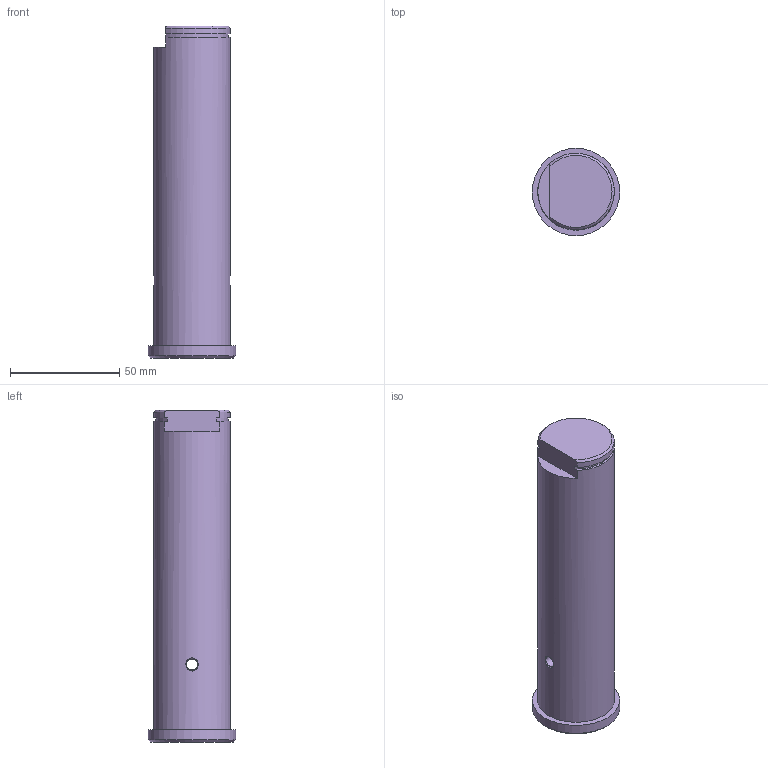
import cadquery as cq

total_length = 152.0
shank_diameter = 35.0
head_diameter = 40.0
head_thickness = 5.5
head_chamfer = 1.0
tip_chamfer = 1.0

groove_diameter = 33.0
groove_width = 1.6
groove_top_offset = 3.65

flat_distance = 12.0
flat_length = 9.75

hole_diameter = 5.0
hole_above_head = 30.0
countersink_diameter = 6.0

shank_radius = shank_diameter / 2
hole_height = head_thickness + hole_above_head


def make_pin():
    """Headed pin standing on the XY plane with its axis along Z."""
    head = cq.Workplane("XY").circle(head_diameter / 2).extrude(head_thickness)
    head = head.faces("<Z").edges().chamfer(head_chamfer)
    shank = cq.Workplane("XY").circle(shank_radius).extrude(total_length)
    shank = shank.faces(">Z").edges().chamfer(tip_chamfer)
    return head.union(shank)


def make_groove():
    """Ring of material removed for the retaining ring."""
    return (
        cq.Workplane("XY")
        .workplane(offset=total_length - groove_top_offset - groove_width)
        .circle(head_diameter / 2)
        .circle(groove_diameter / 2)
        .extrude(groove_width)
    )


def make_flat_cut():
    """Block that cuts the flat on the -X side of the tip."""
    return cq.Workplane("XY").box(
        shank_radius, shank_diameter, flat_length, centered=(False, True, False)
    ).translate((-flat_distance - shank_radius, 0, total_length - flat_length))


def make_cross_hole():
    """Through hole along X with a 45 degree countersink at each mouth."""
    axis_point = cq.Vector(-shank_radius, 0, hole_height)
    hole = cq.Workplane(
        cq.Solid.makeCylinder(hole_diameter / 2, shank_diameter, axis_point, cq.Vector(1, 0, 0))
    )
    countersink_depth = (countersink_diameter - hole_diameter) / 2
    for side in (-1, 1):
        countersink = cq.Solid.makeCone(
            countersink_diameter / 2,
            hole_diameter / 2,
            countersink_depth,
            cq.Vector(side * shank_radius, 0, hole_height),
            cq.Vector(-side, 0, 0),
        )
        hole = hole.union(cq.Workplane(countersink))
    return hole


result = make_pin().cut(make_groove()).cut(make_flat_cut()).cut(make_cross_hole())